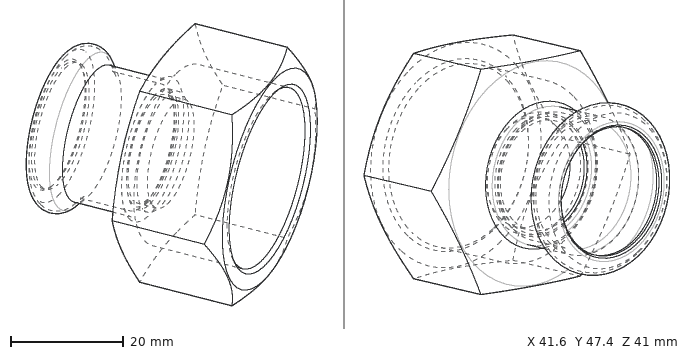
import cadquery as cq
import math


total_length = 41.6
nut_start = 20.7
collar_end = 18.7

tube_radius = 25.2 / 2
socket_radius = 23.3 / 2
mouth_radius = 24.0 / 2
mouth_chamfer = mouth_radius - socket_radius
lip_thickness = 0.95
bead_radius = 2.95
bead_wall = 0.45
groove_radius = bead_radius - bead_wall
flank_angle = math.radians(49)
socket_bend_radius = 1.8

ledge_x = 18.45
ledge_radius = 21.3 / 2
neck_in_angle = math.radians(75)
bore_radius = 20.0 / 2

flare_start = 17.75
flare_radius = 26.65 / 2
neck_radius = 22.2 / 2

nut_corners = 47.35
rear_chamfer_length = 0.9
front_chamfer_length = 2.0
chamfer_radius = 40.6 / 2
thread_start = 22.25
thread_radius = 33.3 / 2
thread_fillet = 1.0
thread_mouth_radius = 34.75 / 2


def revolve(profile):
    return profile.close().revolve(360, (0, 0, 0), (1, 0, 0))


def bead_point(radius, angle):
    """Point on a circle about the bead centre, the angle turning from radial towards +X."""
    return (
        bead_radius + radius * math.sin(angle),
        tube_radius + radius * math.cos(angle),
    )


def flank_meets(flank_start, radius):
    """Point where the conical flank leaving flank_start reaches the given radius."""
    start_x, start_radius = flank_start
    return (start_x + (start_radius - radius) / math.tan(flank_angle), radius)


bead_middle_angle = (flank_angle - math.pi / 2) / 2


def fitting_body():
    """Solid outer shape of the beaded tube, collar and neck."""
    flank_start = bead_point(bead_radius, flank_angle)
    return revolve(
        cq.Workplane("XY")
        .moveTo(0, 0)
        .lineTo(0, tube_radius)
        .threePointArc(bead_point(bead_radius, bead_middle_angle), flank_start)
        .lineTo(*flank_meets(flank_start, tube_radius))
        .lineTo(flare_start, tube_radius)
        .tangentArcPoint((collar_end, flare_radius), relative=False)
        .lineTo(collar_end, neck_radius)
        .lineTo(thread_start, neck_radius)
        .lineTo(thread_start, 0)
    )


def socket_cavity():
    """Pipe socket: mouth lip, seal groove inside the bead, straight tube and neck-in."""
    flank_start = bead_point(groove_radius, flank_angle)
    corner_x, _ = flank_meets(flank_start, socket_radius)
    bend_tangent = socket_bend_radius * math.tan(flank_angle / 2)
    bend_start = (
        corner_x - bend_tangent * math.cos(flank_angle),
        socket_radius + bend_tangent * math.sin(flank_angle),
    )
    bend_end = (corner_x + bend_tangent, socket_radius)

    lip_angle = math.asin((lip_thickness - bead_radius) / groove_radius)
    groove_middle_angle = (lip_angle + flank_angle) / 2

    neck_in_radius = (socket_radius - ledge_radius) / (2 * (1 - math.cos(neck_in_angle)))
    half_length = neck_in_radius * math.sin(neck_in_angle)
    middle_radius = (socket_radius + ledge_radius) / 2

    return revolve(
        cq.Workplane("XY")
        .moveTo(0, 0)
        .lineTo(0, mouth_radius)
        .lineTo(mouth_chamfer, socket_radius)
        .lineTo(lip_thickness, socket_radius)
        .lineTo(*bead_point(groove_radius, lip_angle))
        .threePointArc(bead_point(groove_radius, groove_middle_angle), flank_start)
        .lineTo(*bend_start)
        .tangentArcPoint(bend_end, relative=False)
        .lineTo(ledge_x - 2 * half_length, socket_radius)
        .tangentArcPoint((ledge_x - half_length, middle_radius), relative=False)
        .tangentArcPoint((ledge_x, ledge_radius), relative=False)
        .lineTo(ledge_x, 0)
    )


def nut():
    """Hexagonal nut with conical corner chamfers and a blind threaded bore from +X."""
    corner_radius = nut_corners / 2
    blank = (
        cq.Workplane("YZ")
        .workplane(offset=nut_start)
        .polygon(6, nut_corners)
        .extrude(total_length - nut_start)
    )
    chamfer_envelope = revolve(
        cq.Workplane("XY")
        .moveTo(nut_start, 0)
        .lineTo(nut_start, chamfer_radius)
        .lineTo(nut_start + rear_chamfer_length, corner_radius)
        .lineTo(total_length - front_chamfer_length, corner_radius)
        .lineTo(total_length, chamfer_radius)
        .lineTo(total_length, 0)
    )
    thread_chamfer = thread_mouth_radius - thread_radius
    thread_bore = revolve(
        cq.Workplane("XY")
        .moveTo(thread_start, 0)
        .lineTo(thread_start, thread_radius - thread_fillet)
        .tangentArcPoint((thread_start + thread_fillet, thread_radius), relative=False)
        .lineTo(total_length - thread_chamfer, thread_radius)
        .lineTo(total_length, thread_mouth_radius)
        .lineTo(total_length, 0)
    )
    return blank.intersect(chamfer_envelope).cut(thread_bore)


def through_bore():
    return cq.Workplane("YZ").circle(bore_radius).extrude(total_length)


result = nut().union(fitting_body()).cut(socket_cavity()).cut(through_bore())